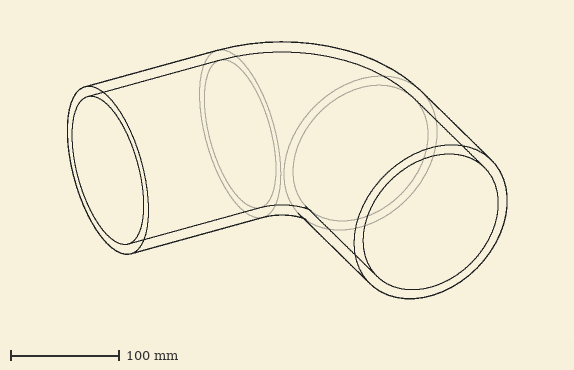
import cadquery as cq
import math

overall_length = 300.0
outer_diameter = 160.0
inner_diameter = 141.0
leg_length = 138.0

bend_radius = overall_length - leg_length - outer_diameter / 2
bend_middle = bend_radius * math.sqrt(0.5)

centreline = (
    cq.Workplane("XY")
    .moveTo(-bend_radius, -leg_length)
    .lineTo(-bend_radius, 0)
    .threePointArc((-bend_middle, bend_middle), (0, bend_radius))
    .lineTo(leg_length, bend_radius)
)

result = (
    cq.Workplane("XZ", origin=(-bend_radius, -leg_length, 0))
    .circle(outer_diameter / 2)
    .circle(inner_diameter / 2)
    .sweep(centreline)
)